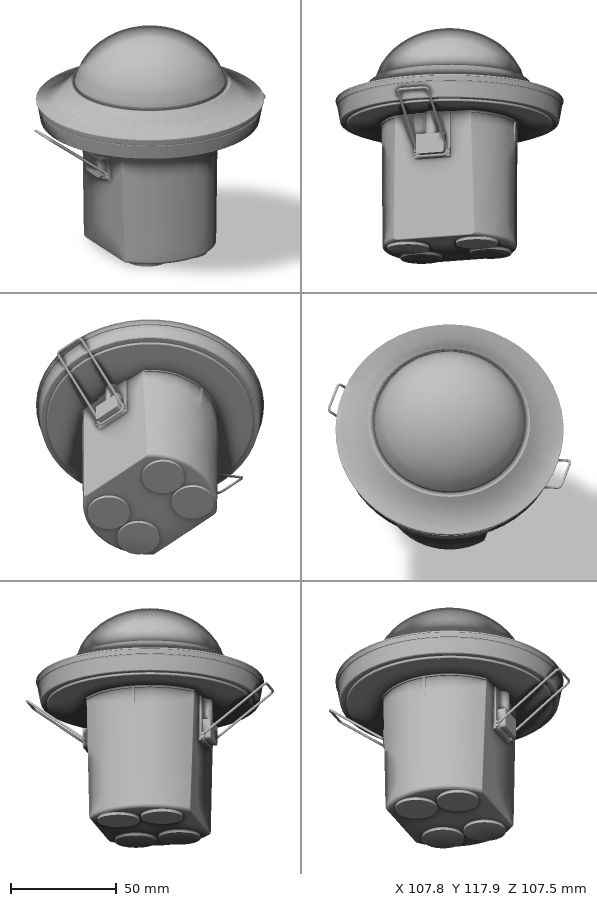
import cadquery as cq
import math


CLIP_TURNS = (0, 180)

TOTAL_HEIGHT = 107.49
BARREL_BOTTOM = 1.4
DISC_BOTTOM = 61.7
HEAD_BOTTOM = 62.8
RIM_BOTTOM = 72.9
RIM_TOP = 73.6
RING_TOP = 81.8
DOME_BASE = 82.8

HEAD_RADIUS = 107.79 / 2
RIM_EDGE_CHAMFER = 0.2
SKIRT_TOP_RADIUS = 53.6
SKIRT_BOTTOM_RADIUS = 51.7
SKIRT_EDGE_CHAMFER = 0.3
SHADOW_GROOVE_TOP = 70.7
SHADOW_GROOVE_BOTTOM = 70.0
SHADOW_GROOVE_DEPTH = 0.4
RING_TOP_RADIUS = 38.1
RING_WAIST_RADIUS = 44.6
RING_WAIST_HEIGHT = 76.5
LIP_WIDTH = 0.5
LIP_STEP = 0.3
DOME_GROOVE_RADIUS = 36.7
DOME_GROOVE_FLOOR = 81.2
DOME_RADIUS = 35.65
DOME_ELLIPSE_HEIGHT = 30.4
DOME_CURVE_STEPS = 12

DISC_RADIUS = 48.8
DISC_EDGE_CHAMFER = 0.3
BARREL_BOTTOM_RADIUS = 31.75
BARREL_TOP_RADIUS = 32.2
COLLAR_RADIUS = 32.9
COLLAR_HEIGHT = 0.7
COLLAR_GAP = 0.5
FLAT_BOTTOM_OFFSET = 24.6
FLAT_TOP_OFFSET = 26.3
BARREL_BOTTOM_ROUND = 1.6
FLAT_EDGE_ROUND = 0.6
RIB_WIDTH = 1.3
RIB_BOTTOM = 51.3
RIB_BOTTOM_RADIUS = 32.25
SEAL_RADIUS = 9.95
SEAL_X = 17.05
SEAL_Y_BACK = 10.1
SEAL_Y_FRONT = -11.1

WIRE_RADIUS = 0.6
WIRE_LEG_X = 7.37
WIRE_LEG_HEIGHT = 2.6
WIRE_CORNER = 1.8
WIRE_FOOT_Z = 40.5
WIRE_ANGLE = math.radians(37)
WIRE_BEND = 1.5
WIRE_TIP_Y = 117.94 / 2

PLATE_WIDTH = 17.4
PLATE_FACE = 27.2
PLATE_BOTTOM = 39.1
PLATE_BOTTOM_RISE = 1.0
BLOCK_FACE = 31.1
BLOCK_TOP = 50.5
STEM_RADIUS = 3.2
STEM_PAD_WIDTH = 8.2
STEM_PAD_THICKNESS = 0.3
LUG_DEPTH = 1.3
LUG_HEIGHT = 1.0
LUG_CENTERS_Z = (41.4, 43.2)


def make_head():
    """Dome, flared ring and tapered skirt, turned about Z."""
    dome_center = TOTAL_HEIGHT - DOME_ELLIPSE_HEIGHT
    base_angle = math.asin((DOME_BASE - dome_center) / DOME_ELLIPSE_HEIGHT)
    ellipse_radius = DOME_RADIUS / math.cos(base_angle)

    def dome_point(t):
        angle = base_angle + t * (math.pi / 2 - base_angle)
        return ellipse_radius * math.cos(angle), dome_center + DOME_ELLIPSE_HEIGHT * math.sin(angle)

    def skirt_radius(z):
        part_way = (z - HEAD_BOTTOM) / (RIM_BOTTOM - HEAD_BOTTOM)
        return SKIRT_BOTTOM_RADIUS + part_way * (SKIRT_TOP_RADIUS - SKIRT_BOTTOM_RADIUS)

    profile = (
        cq.Workplane("XZ")
        .moveTo(0, HEAD_BOTTOM)
        .lineTo(SKIRT_BOTTOM_RADIUS - SKIRT_EDGE_CHAMFER, HEAD_BOTTOM)
        .lineTo(skirt_radius(HEAD_BOTTOM + SKIRT_EDGE_CHAMFER), HEAD_BOTTOM + SKIRT_EDGE_CHAMFER)
        .lineTo(skirt_radius(SHADOW_GROOVE_BOTTOM), SHADOW_GROOVE_BOTTOM)
        .lineTo(skirt_radius(SHADOW_GROOVE_BOTTOM) - SHADOW_GROOVE_DEPTH, SHADOW_GROOVE_BOTTOM)
        .lineTo(skirt_radius(SHADOW_GROOVE_TOP) - SHADOW_GROOVE_DEPTH, SHADOW_GROOVE_TOP)
        .lineTo(skirt_radius(SHADOW_GROOVE_TOP), SHADOW_GROOVE_TOP)
        .lineTo(SKIRT_TOP_RADIUS, RIM_BOTTOM)
        .lineTo(HEAD_RADIUS, RIM_BOTTOM)
        .lineTo(HEAD_RADIUS, RIM_TOP - RIM_EDGE_CHAMFER)
        .lineTo(HEAD_RADIUS - RIM_EDGE_CHAMFER, RIM_TOP)
        .threePointArc((RING_WAIST_RADIUS, RING_WAIST_HEIGHT), (RING_TOP_RADIUS, RING_TOP))
        .lineTo(RING_TOP_RADIUS - LIP_WIDTH, RING_TOP)
        .lineTo(RING_TOP_RADIUS - LIP_WIDTH, RING_TOP - LIP_STEP)
        .lineTo(DOME_GROOVE_RADIUS, RING_TOP - LIP_STEP)
        .lineTo(DOME_GROOVE_RADIUS, DOME_GROOVE_FLOOR)
        .lineTo(DOME_RADIUS, DOME_GROOVE_FLOOR)
        .lineTo(DOME_RADIUS, DOME_BASE)
        .parametricCurve(dome_point, N=DOME_CURVE_STEPS, makeWire=False)
        .close()
    )
    return profile.revolve(360, (0, 0, 0), (0, 1, 0))


def make_barrel():
    """Round barrel with two drafted flats, a collar, a rounded bottom and two ribs."""
    cone = cq.Solid.makeCone(
        BARREL_BOTTOM_RADIUS,
        BARREL_TOP_RADIUS,
        DISC_BOTTOM - BARREL_BOTTOM,
        pnt=cq.Vector(0, 0, BARREL_BOTTOM),
    )
    collar_top = DISC_BOTTOM - COLLAR_GAP
    collar_bottom = collar_top - COLLAR_HEIGHT
    collar = cq.Workplane("XY", origin=(0, 0, collar_bottom)).circle(COLLAR_RADIUS).extrude(COLLAR_HEIGHT)
    flats = (
        cq.Workplane("YZ")
        .moveTo(-FLAT_BOTTOM_OFFSET, BARREL_BOTTOM)
        .lineTo(FLAT_BOTTOM_OFFSET, BARREL_BOTTOM)
        .lineTo(FLAT_TOP_OFFSET, DISC_BOTTOM)
        .lineTo(-FLAT_TOP_OFFSET, DISC_BOTTOM)
        .close()
        .extrude(COLLAR_RADIUS, both=True)
    )
    barrel = cq.Workplane(cone).faces("<Z").edges().fillet(BARREL_BOTTOM_ROUND).intersect(flats)
    barrel = barrel.faces("<Y or >Y").edges("not >Z").fillet(FLAT_EDGE_ROUND)
    ribs = (
        cq.Workplane("XZ")
        .moveTo(-COLLAR_RADIUS, collar_top)
        .lineTo(COLLAR_RADIUS, collar_top)
        .lineTo(RIB_BOTTOM_RADIUS, RIB_BOTTOM)
        .lineTo(-RIB_BOTTOM_RADIUS, RIB_BOTTOM)
        .close()
        .extrude(RIB_WIDTH / 2, both=True)
    )
    return barrel.union(collar.intersect(flats)).union(ribs)


def make_clip_mount():
    """Plate, stem, block and side lugs that carry one spring, on the -Y flat."""
    plate = (
        cq.Workplane("YZ")
        .moveTo(0, DISC_BOTTOM)
        .lineTo(-PLATE_FACE, DISC_BOTTOM)
        .lineTo(-PLATE_FACE, PLATE_BOTTOM + PLATE_BOTTOM_RISE)
        .lineTo(-FLAT_BOTTOM_OFFSET, PLATE_BOTTOM)
        .lineTo(0, PLATE_BOTTOM)
        .close()
        .extrude(PLATE_WIDTH / 2, both=True)
    )
    stem_height = DISC_BOTTOM - BLOCK_TOP
    stem = cq.Workplane("XY", origin=(0, -PLATE_FACE, BLOCK_TOP)).circle(STEM_RADIUS).extrude(stem_height)
    pad = (
        cq.Workplane("XY", origin=(0, -PLATE_FACE, BLOCK_TOP))
        .rect(STEM_PAD_WIDTH, 2 * STEM_PAD_THICKNESS)
        .extrude(stem_height)
    )
    block_bottom = WIRE_FOOT_Z + WIRE_RADIUS
    block_half_width = WIRE_LEG_X - WIRE_RADIUS
    block = (
        cq.Workplane("XY", origin=(0, -(PLATE_FACE + BLOCK_FACE) / 2, block_bottom))
        .rect(2 * block_half_width, BLOCK_FACE - PLATE_FACE)
        .extrude(BLOCK_TOP - block_bottom)
        .edges("|Y and <Z")
        .fillet(WIRE_CORNER - WIRE_RADIUS)
    )
    mount = plate.union(stem).union(pad).union(block)
    lug_inner = WIRE_LEG_X + WIRE_RADIUS
    lug_width = PLATE_WIDTH / 2 - lug_inner
    for side in (-1, 1):
        for lug_z in LUG_CENTERS_Z:
            lug_center = (side * (lug_inner + lug_width / 2), -PLATE_FACE, lug_z)
            lug = cq.Workplane("XY", origin=lug_center).box(lug_width, 2 * LUG_DEPTH, LUG_HEIGHT)
            mount = mount.union(lug)
    return mount


def make_housing():
    """Disc, barrel, cable seals and the two clip mounts as one solid."""
    disc = (
        cq.Workplane("XY")
        .workplane(offset=DISC_BOTTOM)
        .circle(DISC_RADIUS)
        .extrude(HEAD_BOTTOM - DISC_BOTTOM)
        .faces("<Z")
        .edges()
        .chamfer(DISC_EDGE_CHAMFER)
    )
    seal_centers = [(x, y) for x in (-SEAL_X, SEAL_X) for y in (SEAL_Y_FRONT, SEAL_Y_BACK)]
    seals = cq.Workplane("XY").pushPoints(seal_centers).circle(SEAL_RADIUS).extrude(BARREL_BOTTOM)
    mount = make_clip_mount()
    housing = disc.union(make_barrel()).union(seals)
    for turn in CLIP_TURNS:
        housing = housing.union(mount.rotate((0, 0, 0), (0, 0, 1), turn))
    return housing


def make_spring(turn):
    """Closed wire loop: a foot under the block, two legs and a sloping bail out to the tip."""
    foot_y = -(PLATE_FACE + WIRE_RADIUS)
    tip_y = -(WIRE_TIP_Y - WIRE_RADIUS)
    out = cq.Vector(0, -math.cos(WIRE_ANGLE), math.sin(WIRE_ANGLE))
    up = cq.Vector(0, 0, 1)
    side = cq.Vector(1, 0, 0)

    foot = cq.Vector(0, foot_y, WIRE_FOOT_Z)
    knee = foot + side * WIRE_LEG_X + up * WIRE_LEG_HEIGHT
    tip_corner = knee + out * ((foot_y - tip_y) / math.cos(WIRE_ANGLE))
    tip = tip_corner - side * WIRE_LEG_X

    def corner_arc(corner, before, after, trim):
        """Arc tangent to both legs, starting and ending at `trim` from the corner."""
        half_turn = before.getAngle(after) / 2
        radius = trim / math.tan(half_turn)
        start = corner - before * trim
        inward = (after - before).normalized()
        middle = corner + inward * (radius / math.cos(half_turn) - radius)
        return start, middle, corner + after * trim

    foot_arc = corner_arc(foot + side * WIRE_LEG_X, side, up, WIRE_CORNER)
    knee_trim = WIRE_BEND * math.tan(up.getAngle(out) / 2)
    knee_arc = corner_arc(knee, up, out, knee_trim)
    tip_arc = corner_arc(tip_corner, out, side * -1, WIRE_CORNER)

    edges = []
    point = foot
    for arc in (foot_arc, knee_arc, tip_arc):
        edges.append(cq.Edge.makeLine(point, arc[0]))
        edges.append(cq.Edge.makeThreePointArc(*arc))
        point = arc[2]
    edges.append(cq.Edge.makeLine(point, tip))
    path = cq.Workplane(cq.Wire.assembleEdges(edges))
    half = cq.Workplane("YZ", origin=foot.toTuple()).circle(WIRE_RADIUS).sweep(path)
    return half.union(half.mirror("YZ")).rotate((0, 0, 0), (0, 0, 1), turn)


head = make_head()
housing = make_housing()
springs = [make_spring(turn) for turn in CLIP_TURNS]

spring_solids = [spring.solids().val() for spring in springs]
result = cq.Compound.makeCompound([head.val(), housing.solids().val(), *spring_solids])